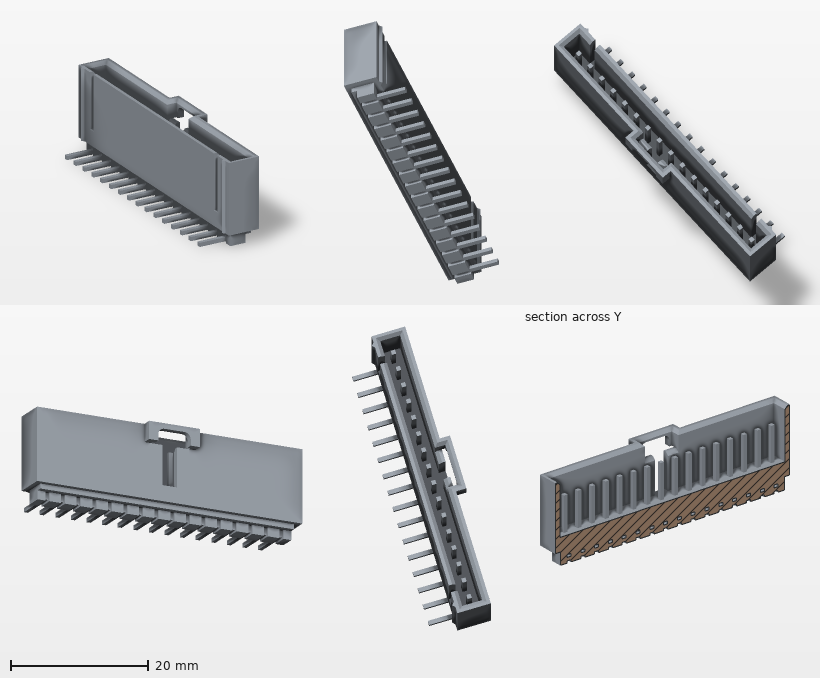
import cadquery as cq

LENGTH = 43.2
WIDTH = 5.1
SHROUD_HEIGHT = 11.45
CAVITY_DEPTH = 9.0
LONG_WALL = 1.05
END_WALL = 0.95
LEAD_IN = 0.5

KEY_LENGTH = 8.25
KEY_REACH = 1.55
KEY_HEIGHT = 2.8
BACK_SLOT_WIDTH = 2.37
KEY_BAY_LENGTH = KEY_LENGTH - 2 * LONG_WALL

WINDOW_LENGTH = 5.25
WINDOW_TOP_DEPTH = 0.85
WINDOW_RADIUS = 1.0

FRONT_SLOT_WIDTH = 1.05
FRONT_SLOT_INSET = 3.8

RIB_WIDTH = 0.8
RIB_REACH = 0.4

FOOT_INSET = 0.95
FOOT_FRONT = -1.75
FOOT_BACK = 1.73
TOOTH_BACK = 0.8
FOOT_STEP_DEPTH = 12.2
TOTAL_HEIGHT = 13.6

PIN_COUNT = 16
PIN_ROW_LENGTH = 38.1
PIN_PITCH = PIN_ROW_LENGTH / (PIN_COUNT - 1)
PIN_SIZE = 0.65
PIN_RISE = 6.05
PIN_TIP = -6.17
PIN_TAIL_BOTTOM = 13.25
PIN_BEND = 0.4

FRONT = -WIDTH / 2
BACK = WIDTH / 2
KEY_BACK = BACK + KEY_REACH
PIN_POSITIONS = [i * PIN_PITCH - PIN_ROW_LENGTH / 2 for i in range(PIN_COUNT)]


def block(x_center, x_size, y_min, y_max, z_min, z_max):
    """Box given by its X centre and size and its Y and Z limits."""
    return cq.Workplane("XY").box(x_size, y_max - y_min, z_max - z_min).translate(
        (x_center, (y_min + y_max) / 2, (z_min + z_max) / 2)
    )


def make_shell():
    """Solid shroud with the solid key on its back."""
    body = block(0, LENGTH, FRONT, BACK, -SHROUD_HEIGHT, 0)
    return body.union(block(0, KEY_LENGTH, 0, KEY_BACK, -KEY_HEIGHT, 0))


def funnel(x_size, y_min, y_max):
    """45 degree lead-in widening a rectangular opening of this size up to Z = 0."""
    return (
        cq.Workplane("XY")
        .center(0, (y_min + y_max) / 2)
        .rect(x_size + 2 * LEAD_IN, y_max - y_min + 2 * LEAD_IN)
        .extrude(-LEAD_IN, taper=45)
    )


def cut_cavity(shell):
    """Hollow the shroud and open the bay inside the key, both with a lead-in."""
    main_length = LENGTH - 2 * END_WALL
    inner_front = FRONT + LONG_WALL
    inner_back = BACK - LONG_WALL
    key_inner_back = KEY_BACK - LONG_WALL
    shell = shell.cut(block(0, main_length, inner_front, inner_back, -CAVITY_DEPTH, 0))
    shell = shell.cut(block(0, KEY_BAY_LENGTH, 0, key_inner_back, -KEY_HEIGHT, 0))
    shell = shell.cut(funnel(main_length, inner_front, inner_back))
    return shell.cut(funnel(KEY_BAY_LENGTH, 0, key_inner_back))


def cut_key_window(shell):
    """Window through the back of the key, open at the bottom, with rounded top corners."""
    window = block(0, WINDOW_LENGTH, BACK, KEY_BACK, -KEY_HEIGHT, -WINDOW_TOP_DEPTH)
    return shell.cut(window.edges("|Y and >Z").fillet(WINDOW_RADIUS))


def chamfer_key_sill(shell):
    """Bevel the inner edge of the back wall where it is lowered below the key."""
    inner_back = BACK - LONG_WALL
    bevel = (
        cq.Workplane("YZ")
        .polyline(
            [
                (inner_back, -KEY_HEIGHT),
                (inner_back + LEAD_IN, -KEY_HEIGHT),
                (inner_back, -KEY_HEIGHT - LEAD_IN),
            ]
        )
        .close()
        .extrude(KEY_BAY_LENGTH / 2, both=True)
    )
    return shell.cut(bevel)


def cut_wall_slots(shell):
    """Open slots in the back and front walls, running down to the cavity floor."""
    shell = shell.cut(block(0, BACK_SLOT_WIDTH, 0, BACK, -CAVITY_DEPTH, 0))
    for side in (-1, 1):
        x = side * (LENGTH / 2 - FRONT_SLOT_INSET)
        shell = shell.cut(block(x, FRONT_SLOT_WIDTH, FRONT, 0, -CAVITY_DEPTH, 0))
    return shell


def make_rib(side):
    """V rib near one end of the front wall; side is -1 or 1."""
    x = side * (LENGTH / 2 - FOOT_INSET - RIB_WIDTH / 2)
    points = [(x - RIB_WIDTH / 2, FRONT), (x + RIB_WIDTH / 2, FRONT), (x, FRONT - RIB_REACH)]
    return cq.Workplane("XY").polyline(points).close().extrude(-SHROUD_HEIGHT)


def make_foot():
    """Stepped foot whose lower part is split into teeth by the pin notches."""
    foot_length = LENGTH - 2 * FOOT_INSET
    foot = block(0, foot_length, FOOT_FRONT, FOOT_BACK, -FOOT_STEP_DEPTH, -SHROUD_HEIGHT)
    foot = foot.union(
        block(0, foot_length, FOOT_FRONT, TOOTH_BACK, -TOTAL_HEIGHT, -SHROUD_HEIGHT)
    )
    for x in PIN_POSITIONS:
        foot = foot.cut(
            block(x, PIN_SIZE, FOOT_FRONT, TOOTH_BACK, -TOTAL_HEIGHT, -FOOT_STEP_DEPTH)
        )
    return foot


def make_pin(x):
    """Square pin rising into the cavity, with its tail bent towards -Y."""
    half = PIN_SIZE / 2
    top = PIN_RISE - CAVITY_DEPTH
    tail_bottom = -PIN_TAIL_BOTTOM
    tail_top = tail_bottom + PIN_SIZE
    profile = [
        (half, top),
        (half, tail_bottom),
        (PIN_TIP, tail_bottom),
        (PIN_TIP, tail_top),
        (-half - PIN_BEND, tail_top),
        (-half, tail_top + PIN_BEND),
        (-half, top),
    ]
    pin = cq.Workplane("YZ", origin=(x, 0, 0)).polyline(profile).close()
    return pin.extrude(half, both=True)


result = cut_cavity(make_shell())
result = chamfer_key_sill(result)
result = cut_key_window(result)
result = cut_wall_slots(result)
for rib_side in (-1, 1):
    result = result.union(make_rib(rib_side))
result = result.union(make_foot())
for pin_x in PIN_POSITIONS:
    result = result.union(make_pin(pin_x))